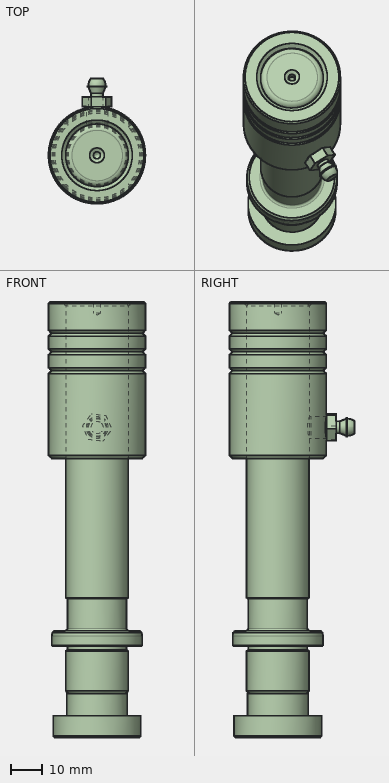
import cadquery as cq
import math

TOTAL_HEIGHT = 139.0
TOTAL_DEPTH = 40.0

FULL_TURN = 360
QUARTER_TURN = FULL_TURN / 4

BUSHING_DIAMETER = 31.0
BUSHING_RADIUS = BUSHING_DIAMETER / 2
BUSHING_LENGTH = 50.0
BUSHING_BOTTOM = TOTAL_HEIGHT - BUSHING_LENGTH
BUSHING_TOP_CHAMFER = 0.5
BUSHING_BOTTOM_CHAMFER = 1.1
BORE_CHAMFER = 1.3
GROOVE_DEPTH = 1.0
GROOVE_FIRST = 10.0
GROOVE_PITCH = 6.0
GROOVE_COUNT = 3

FITTING_PORT_RADIUS = 3.5
FITTING_HEIGHT = 99.0

PILLAR_RADIUS = 10.0
RELIEF_RADIUS = 9.5
RELIEF_CONE_LENGTH = 0.4
PILLAR_BOTTOM = 14.0
PILLAR_TOP = TOTAL_HEIGHT
PILLAR_TOP_ROUND = 2.0
PILLAR_END_CHAMFER = 0.8
SHAFT_START = 44.6
COLLAR_RADIUS = 14.5
COLLAR_BOTTOM = 29.0
COLLAR_TOP = 34.0
COLLAR_FILLET = 0.8
COLLAR_TOP_CHAMFER = 0.7
COLLAR_TAPER_LENGTH = 0.8
COLLAR_TAPER_STEP = 0.1
COLLAR_BOTTOM_CHAMFER = 0.4
SEAT_TOP = 27.5
CENTRE_CONE_RADIUS = 2.4
CENTRE_CONE_DEPTH = 0.7
CENTRE_DRILL_RADIUS = 1.1
CENTRE_DRILL_DEPTH = 3.5
DRILL_POINT_ANGLE = 118

CAP_RADIUS = 14.0
CAP_THICKNESS = 7.0
CAP_CHAMFER = 0.5
PLUG_RADIUS = 9.7

FITTING_TIP = TOTAL_DEPTH - BUSHING_RADIUS
STEM_START = 10.4
HEX_START = 15.5
HEX_END = 18.6
HEX_RADIUS = 4.7
HEX_TURN = 6.5
NECK_RADIUS = 2.0
NECK_END = 19.7
LIP_RADIUS = 3.0
LIP_THICKNESS = 0.3
LIP_POSITION = 21.8
HEAD_RADIUS = 2.8
HEAD_TIP_RADIUS = 2.0
HEAD_CURVE_RADIUS = 3.5


def turned(profile):
    """Solid of revolution about Z from a closed (radius, height) wire in the XZ plane."""
    return profile.close().revolve(FULL_TURN, (0, 0, 0), (0, 1, 0))


def v_groove(height):
    """Ring that cuts a 90 degree V groove into the bushing wall."""
    floor = BUSHING_RADIUS - GROOVE_DEPTH
    outside = BUSHING_RADIUS + GROOVE_DEPTH
    half_width = 2 * GROOVE_DEPTH
    return turned(
        cq.Workplane("XZ")
        .moveTo(floor, height)
        .lineTo(outside, height - half_width)
        .lineTo(outside, height + half_width)
    )


def fitting_port():
    """Radial cylinder along +Y from the pillar axis out past the bushing wall."""
    start = cq.Vector(0, 0, FITTING_HEIGHT)
    outward = cq.Vector(0, 1, 0)
    return cq.Workplane(cq.Solid.makeCylinder(FITTING_PORT_RADIUS, BUSHING_DIAMETER, start, outward))


def make_bushing():
    body = cq.Workplane("XY").workplane(offset=BUSHING_BOTTOM).circle(BUSHING_RADIUS).extrude(BUSHING_LENGTH)
    body = body.faces(">Z").chamfer(BUSHING_TOP_CHAMFER)
    body = body.faces("<Z").chamfer(BUSHING_BOTTOM_CHAMFER)
    bore = cq.Workplane("XY").workplane(offset=BUSHING_BOTTOM).circle(PILLAR_RADIUS).extrude(BUSHING_LENGTH)
    body = body.cut(bore)
    body = body.faces(">Z").edges(cq.selectors.RadiusNthSelector(0)).chamfer(BORE_CHAMFER)
    for index in range(GROOVE_COUNT):
        body = body.cut(v_groove(TOTAL_HEIGHT - GROOVE_FIRST - index * GROOVE_PITCH))
    return body.cut(fitting_port())


def make_pillar():
    end_radius = PILLAR_RADIUS - PILLAR_END_CHAMFER
    chamfer_foot = COLLAR_TOP - COLLAR_TOP_CHAMFER
    taper_radius = COLLAR_RADIUS - COLLAR_TAPER_STEP
    body = turned(
        cq.Workplane("XZ")
        .moveTo(0, PILLAR_BOTTOM)
        .lineTo(end_radius, PILLAR_BOTTOM)
        .lineTo(PILLAR_RADIUS, PILLAR_BOTTOM + PILLAR_END_CHAMFER)
        .lineTo(PILLAR_RADIUS, SEAT_TOP)
        .lineTo(RELIEF_RADIUS, SEAT_TOP + RELIEF_CONE_LENGTH)
        .lineTo(RELIEF_RADIUS, COLLAR_BOTTOM)
        .lineTo(COLLAR_RADIUS - COLLAR_BOTTOM_CHAMFER, COLLAR_BOTTOM)
        .lineTo(COLLAR_RADIUS, COLLAR_BOTTOM + COLLAR_BOTTOM_CHAMFER)
        .lineTo(COLLAR_RADIUS, chamfer_foot - COLLAR_TAPER_LENGTH)
        .lineTo(taper_radius, chamfer_foot)
        .lineTo(taper_radius - COLLAR_TOP_CHAMFER, COLLAR_TOP)
        .lineTo(RELIEF_RADIUS + COLLAR_FILLET, COLLAR_TOP)
        .radiusArc((RELIEF_RADIUS, COLLAR_TOP + COLLAR_FILLET), COLLAR_FILLET)
        .lineTo(RELIEF_RADIUS, SHAFT_START - RELIEF_CONE_LENGTH)
        .lineTo(PILLAR_RADIUS, SHAFT_START)
        .lineTo(PILLAR_RADIUS, PILLAR_TOP - PILLAR_TOP_ROUND)
        .radiusArc((PILLAR_RADIUS - PILLAR_TOP_ROUND, PILLAR_TOP), -PILLAR_TOP_ROUND)
        .lineTo(0, PILLAR_TOP)
    )
    return body.cut(make_centre_hole())


def make_centre_hole():
    """Countersunk blind centre hole with a drill point, cut into the top of the pillar."""
    drill_tip_length = CENTRE_DRILL_RADIUS / math.tan(math.radians(DRILL_POINT_ANGLE / 2))
    return turned(
        cq.Workplane("XZ")
        .moveTo(0, PILLAR_TOP)
        .lineTo(CENTRE_CONE_RADIUS, PILLAR_TOP)
        .lineTo(CENTRE_DRILL_RADIUS, PILLAR_TOP - CENTRE_CONE_DEPTH)
        .lineTo(CENTRE_DRILL_RADIUS, PILLAR_TOP - CENTRE_DRILL_DEPTH)
        .lineTo(0, PILLAR_TOP - CENTRE_DRILL_DEPTH - drill_tip_length)
    )


def make_end_cap():
    disc = cq.Workplane("XY").circle(CAP_RADIUS).extrude(CAP_THICKNESS).faces("<Z").chamfer(CAP_CHAMFER)
    return disc.faces(">Z").workplane().circle(PLUG_RADIUS).extrude(PILLAR_BOTTOM - CAP_THICKNESS)


def make_grease_fitting():
    """Built upright along Z, then laid along +Y at its height on the bushing."""
    nozzle = turned(
        cq.Workplane("XZ")
        .moveTo(0, STEM_START)
        .lineTo(FITTING_PORT_RADIUS, STEM_START)
        .lineTo(FITTING_PORT_RADIUS, HEX_START)
        .lineTo(NECK_RADIUS, HEX_START)
        .lineTo(NECK_RADIUS, NECK_END)
        .lineTo(HEAD_RADIUS, LIP_POSITION)
        .lineTo(LIP_RADIUS, LIP_POSITION)
        .lineTo(LIP_RADIUS, LIP_POSITION + LIP_THICKNESS)
        .lineTo(HEAD_RADIUS, LIP_POSITION + LIP_THICKNESS)
        .radiusArc((HEAD_TIP_RADIUS, FITTING_TIP), -HEAD_CURVE_RADIUS)
        .lineTo(0, FITTING_TIP)
    )
    hexagon = (
        cq.Workplane("XY")
        .workplane(offset=HEX_START)
        .polygon(6, 2 * HEX_RADIUS)
        .extrude(HEX_END - HEX_START)
        .rotate((0, 0, 0), (0, 0, 1), HEX_TURN)
    )
    upright = nozzle.union(hexagon)
    return upright.rotate((0, 0, 0), (1, 0, 0), -QUARTER_TURN).translate((0, 0, FITTING_HEIGHT))


bushing = make_bushing()
pillar = make_pillar()
end_cap = make_end_cap()
grease_fitting = make_grease_fitting()

result = cq.Compound.makeCompound([bushing.val(), pillar.val(), end_cap.val(), grease_fitting.val()])